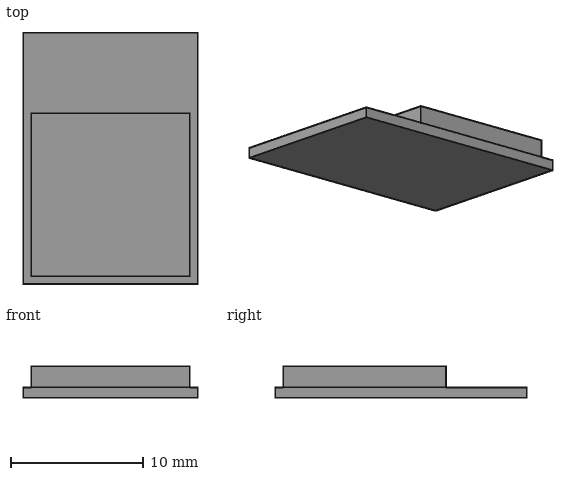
import cadquery as cq

board_width = 13.2
board_length = 19.0
board_thickness = 0.8

overall_height = 2.4
edge_margin = 0.6
shield_width = board_width - 2 * edge_margin
shield_length = 12.3
shield_height = overall_height - board_thickness
shield_center_y = -board_length / 2 + edge_margin + shield_length / 2


def make_board():
    """Flat board centred on the origin, with its underside at Z = 0."""
    return cq.Workplane("XY").box(
        board_width, board_length, board_thickness, centered=(True, True, False)
    )


def make_shield():
    """Rectangular shield can standing on the board, towards the -Y end."""
    return (
        cq.Workplane("XY", origin=(0, shield_center_y, board_thickness))
        .box(shield_width, shield_length, shield_height, centered=(True, True, False))
    )


result = make_board().union(make_shield())